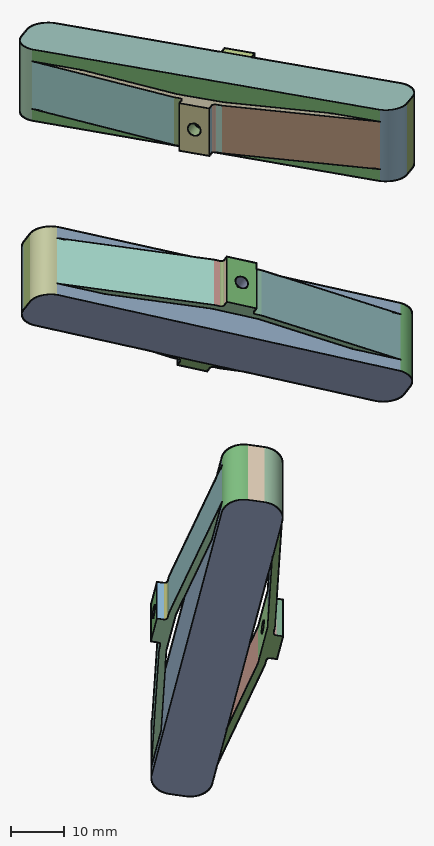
import cadquery as cq
import math

bar_length = 76.8
bar_width = 11.5
bar_height = 15.0
end_flat_width = 3.1
corner_length = 3.8

overall_width = 24.0
strap_height = 10.0
strap_thickness = 1.4
crown_length = 9.5
crown_offset = 10.1

lug_length = 6.0
lug_fillet = 0.6
hole_diameter = 2.5

half_length = bar_length / 2
half_width = bar_width / 2
side_end = half_length - corner_length


def make_bar():
    """Bar whose corner arcs run tangent into the end flats."""
    end_flat = end_flat_width / 2
    corner_width = half_width - end_flat
    radius = (corner_length**2 + corner_width**2) / (2 * corner_length)
    half_sweep = math.asin(corner_width / radius) / 2
    mid_x = half_length - radius * (1 - math.cos(half_sweep))
    mid_y = end_flat + radius * math.sin(half_sweep)
    return (
        cq.Workplane("XY")
        .moveTo(side_end, -half_width)
        .threePointArc((mid_x, -mid_y), (half_length, -end_flat))
        .lineTo(half_length, end_flat)
        .threePointArc((mid_x, mid_y), (side_end, half_width))
        .lineTo(-side_end, half_width)
        .threePointArc((-mid_x, mid_y), (-half_length, end_flat))
        .lineTo(-half_length, -end_flat)
        .threePointArc((-mid_x, -mid_y), (-side_end, -half_width))
        .close()
        .extrude(bar_height / 2, both=True)
    )


def make_strap():
    """Strap of constant thickness on the +Y side, with its drilled lug."""
    outer_kink = crown_length / 2
    rise = crown_offset - half_width
    slope_angle = math.atan2(rise, side_end - outer_kink)
    inner_kink = outer_kink - strap_thickness * math.tan(slope_angle / 2)
    inner_offset = crown_offset - strap_thickness
    inner_end = inner_kink + (inner_offset - half_width) / math.tan(slope_angle)
    lug_side = lug_length / 2
    lug_face = overall_width / 2

    strap = (
        cq.Workplane("XY")
        .polyline([
            (-side_end, half_width),
            (-outer_kink, crown_offset),
            (-lug_side, crown_offset),
            (-lug_side, lug_face),
            (lug_side, lug_face),
            (lug_side, crown_offset),
            (outer_kink, crown_offset),
            (side_end, half_width),
            (inner_end, half_width),
            (inner_kink, inner_offset),
            (-inner_kink, inner_offset),
            (-inner_end, half_width),
        ])
        .close()
        .extrude(strap_height / 2, both=True)
    )

    lug_roots = cq.selectors.BoxSelector(
        (-lug_side - lug_fillet, crown_offset - lug_fillet, -strap_height),
        (lug_side + lug_fillet, crown_offset + lug_fillet, strap_height),
    )
    strap = strap.edges("|Z").edges(lug_roots).fillet(lug_fillet)

    hole = (
        cq.Workplane("XZ", origin=(0, lug_face, 0))
        .circle(hole_diameter / 2)
        .extrude(lug_face - inner_offset)
    )
    return strap.cut(hole)


strap = make_strap()
result = make_bar().union(strap).union(strap.mirror("XZ"))